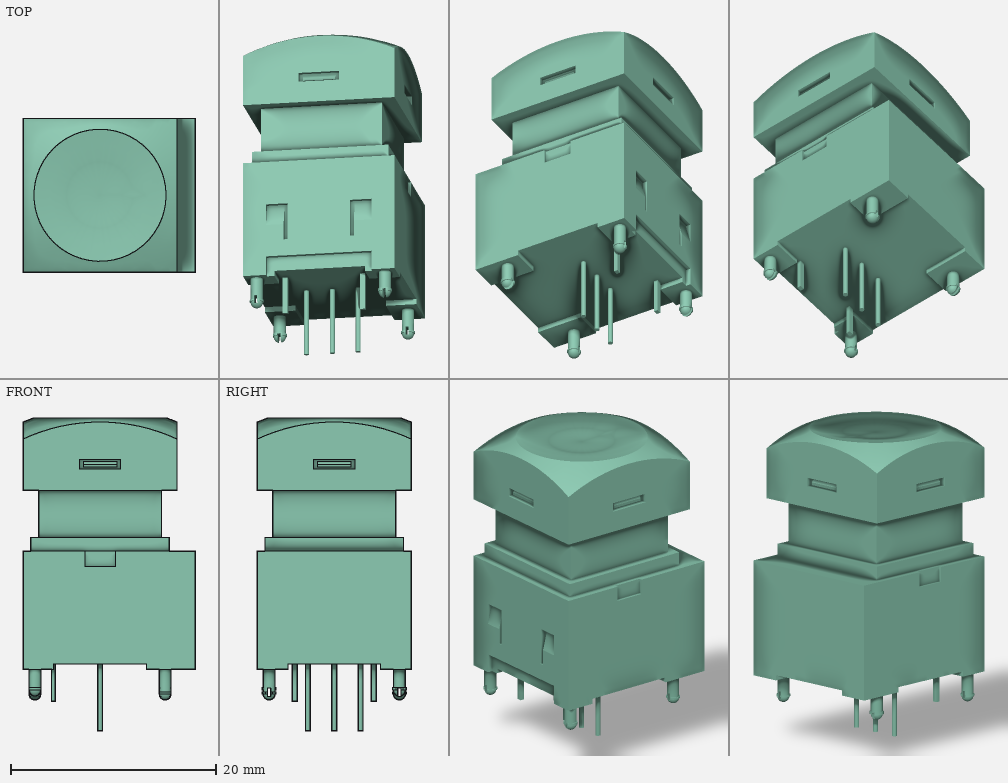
import cadquery as cq
import math


base_bottom = 5.98
base_top = 17.5
collar_top = 18.85
cap_bottom = 23.42
cap_rim_height = 30.5

cap_side = 15.0
neck_side = 12.0
collar_side = 13.5
base_length = 16.8
base_width = cap_side
base_left = -cap_side / 2
base_right = base_left + base_length
cut_margin = 0.3

cap_corner_height = 28.43
dish_radius = 6.45
dish_depth = 0.5

cap_window_width = 4.0
cap_window_bottom = 25.53
cap_window_top = 26.4
cap_window_depth = 0.5
cap_latch_width = 3.25
cap_latch_bottom = 25.68
cap_latch_edge = 25.95
cap_latch_top = 26.23
cap_latch_depth = 0.18

side_notch_width = 3.0
side_notch_center = 0.03
side_notch_depth = 0.3
side_notch_bottom = 16.0

post_width = 2.3
window_width = 2.15
window_bottom = 9.52
window_top = 13.18
window_depth = 0.5
latch_gap = 0.4
latch_ramp_bottom = 11.07
latch_ramp_top = 12.95
recess_top = 7.87
recess_depth = 0.5

channel_top = 6.5
channel_half_x = 4.5
channel_half_y = 4.48

peg_offset = 6.35
peg_diameter = 1.2
short_dome_center = 3.95
long_dome_center = 3.6
short_barb_height = 0.27
long_barb_height = 0.18
barb_overhang = 0.1
slit_width = 0.3
slit_top = 4.15
slit_bottom = 3.35

round_pin_diameter = 0.5
round_pin_spacing = 2.55
flat_pin_x = -4.55
flat_pin_y = 3.85
flat_pin_thickness = 0.4
flat_pin_width = 0.52
flat_pin_tip = 2.87
terminal_embed = 1.52
terminal_root = channel_top + terminal_embed


def block(x_range, y_range, z_range):
    """Box spanning the given limits."""
    size = [high - low for low, high in (x_range, y_range, z_range)]
    corner = (x_range[0], y_range[0], z_range[0])
    return cq.Workplane("XY").box(*size, centered=False).translate(corner)


def square_block(side, bottom, top):
    """Square prism centred on the button axis."""
    return block((-side / 2, side / 2), (-side / 2, side / 2), (bottom, top))


def make_cap():
    """Square cap with a spherical crown, a shallow dish and a latch window in each side."""
    corner_radius = cap_side / math.sqrt(2)
    crown_center = (
        corner_radius**2 + cap_corner_height**2 - dish_radius**2 - cap_rim_height**2
    ) / (2 * (cap_corner_height - cap_rim_height))
    crown_radius = math.hypot(dish_radius, cap_rim_height - crown_center)
    crown = cq.Workplane("XY").sphere(crown_radius).translate((0, 0, crown_center))
    cap = square_block(cap_side, cap_bottom, crown_center + crown_radius).intersect(crown)

    dish_sphere_radius = (dish_radius**2 + dish_depth**2) / (2 * dish_depth)
    dish_center = cap_rim_height - dish_depth + dish_sphere_radius
    cap = cap.cut(cq.Workplane("XY").sphere(dish_sphere_radius).translate((0, 0, dish_center)))

    window_floor = -cap_side / 2 + cap_window_depth
    window = block(
        (-cap_window_width / 2, cap_window_width / 2),
        (-cap_side / 2 - cut_margin, window_floor),
        (cap_window_bottom, cap_window_top),
    )
    latch_nose = window_floor - cap_latch_depth
    latch = (
        cq.Workplane("YZ")
        .moveTo(window_floor, cap_latch_bottom)
        .lineTo(latch_nose, cap_latch_bottom)
        .lineTo(latch_nose, cap_latch_edge)
        .lineTo(window_floor, cap_latch_top)
        .close()
        .extrude(cap_latch_width / 2, both=True)
    )
    latch_opening = window.cut(latch)
    for angle in (0, 90, 180, 270):
        cap = cap.cut(latch_opening.rotate((0, 0, 0), (0, 0, 1), angle))
    return cap


def make_latch_opening():
    """Window beside the post at +Y, with a ramped latch filling it next to the post."""
    outer_y = base_width / 2 - post_width
    inner_y = outer_y - window_width
    floor_x = base_left + window_depth
    window = block((base_left, floor_x), (inner_y, outer_y), (window_bottom, window_top))
    latch = (
        cq.Workplane("XZ", origin=(0, outer_y, 0))
        .moveTo(floor_x, window_bottom)
        .lineTo(base_left, window_bottom)
        .lineTo(base_left, latch_ramp_bottom)
        .lineTo(floor_x, latch_ramp_top)
        .close()
        .extrude(window_width - latch_gap)
    )
    return window.cut(latch)


def make_base():
    """Rectangular base standing on four feet."""
    half_width = base_width / 2
    base = block((base_left, base_right), (-half_width, half_width), (base_bottom, base_top))

    channel_z = (base_bottom, channel_top)
    base = base.cut(block((-channel_half_x, channel_half_x), (-half_width, half_width), channel_z))
    base = base.cut(block((base_left, base_right), (-channel_half_y, channel_half_y), channel_z))

    recess_half = half_width - post_width
    recess_x = (base_left, base_left + recess_depth)
    base = base.cut(block(recess_x, (-recess_half, recess_half), (base_bottom, recess_top)))

    opening = make_latch_opening()
    base = base.cut(opening).cut(opening.mirror("XZ"))

    notch = block(
        (side_notch_center - side_notch_width / 2, side_notch_center + side_notch_width / 2),
        (-half_width, side_notch_depth - half_width),
        (side_notch_bottom, base_top),
    )
    return base.cut(notch).cut(notch.mirror("XZ"))


def make_peg(x, y, dome_center, barb_height):
    """Round-ended peg with a slit along X that opens the tip of a short peg, and barbs on its two Y sides."""
    radius = peg_diameter / 2
    barb_radius = radius + barb_overhang
    peg = cq.Workplane("XY", origin=(0, 0, dome_center)).circle(radius).extrude(channel_top - dome_center)
    peg = peg.union(cq.Workplane("XY").sphere(radius).translate((0, 0, dome_center)))
    barb = cq.Workplane("XY", origin=(0, 0, dome_center)).circle(barb_radius).extrude(barb_height)
    barb_top = dome_center + barb_height
    barb = barb.intersect(block((-radius, radius), (-barb_radius, barb_radius), (dome_center, barb_top)))
    slit = block((-barb_radius, barb_radius), (-slit_width / 2, slit_width / 2), (slit_bottom, slit_top))
    return peg.union(barb).cut(slit).translate((x, y, 0))


def make_terminals():
    """Row of three round pins and a pair of shorter flat pins."""
    terminals = (
        cq.Workplane("XY")
        .pushPoints([(0, row * round_pin_spacing) for row in (-1, 0, 1)])
        .circle(round_pin_diameter / 2)
        .extrude(terminal_root)
    )
    flat_pins = (
        cq.Workplane("XY", origin=(0, 0, flat_pin_tip))
        .pushPoints([(flat_pin_x, side * flat_pin_y) for side in (-1, 1)])
        .rect(flat_pin_thickness, flat_pin_width)
        .extrude(terminal_root - flat_pin_tip)
    )
    return terminals.union(flat_pins)


result = make_base()
result = result.union(square_block(collar_side, base_top, collar_top))
result = result.union(square_block(neck_side, collar_top, cap_bottom))
result = result.union(make_cap())
result = result.union(make_terminals())

for x_side in (-1, 1):
    for y_side in (-1, 1):
        if x_side == y_side:
            peg_shape = (short_dome_center, short_barb_height)
        else:
            peg_shape = (long_dome_center, long_barb_height)
        result = result.union(make_peg(x_side * peg_offset, y_side * peg_offset, *peg_shape))